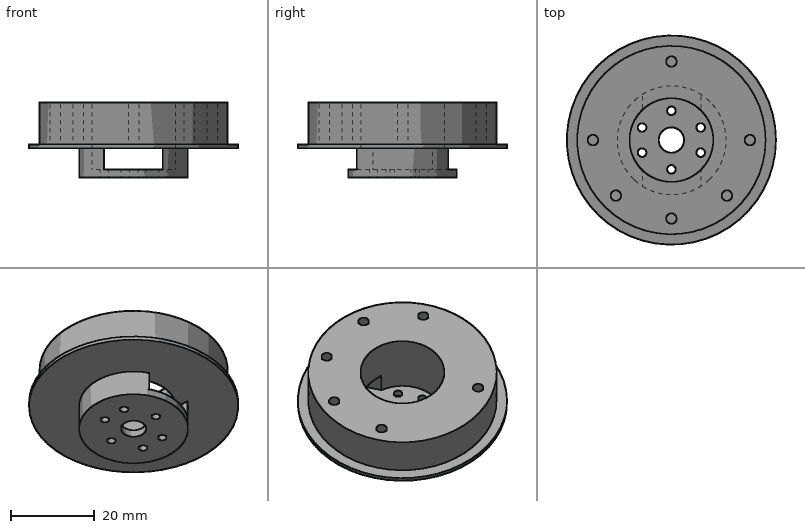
import cadquery as cq
import math

flange_diameter = 50.0
flange_height = 1.0
body_diameter = 45.0
body_height = 10.0
hub_diameter = 26.0
hub_height = 7.0

bore_diameter = 20.0
floor_height = 2.0
shaft_hole_diameter = 6.0

floor_hole_diameter = 2.0
floor_hole_x = 7.0
floor_hole_y = 3.0
floor_hole_end_y = 7.0

window_width = 14.0

top_hole_diameter = 2.5
top_hole_circle_radius = 18.75
top_hole_angles = [0, 90, 180, 225, 270, 315]

flange_base = hub_height
body_base = flange_base + flange_height
total_height = body_base + body_height


def cylinder(diameter, base, height, centres=((0, 0),)):
    """Vertical cylinders standing at the given centres."""
    plane = cq.Workplane("XY").workplane(offset=base)
    return plane.pushPoints(centres).circle(diameter / 2).extrude(height)


def outer_shape():
    hub = cylinder(hub_diameter, 0, hub_height)
    flange = cylinder(flange_diameter, flange_base, flange_height)
    body = cylinder(body_diameter, body_base, body_height)
    return hub.union(flange).union(body)


def floor_holes():
    centres = [(x, y) for x in (-floor_hole_x, floor_hole_x) for y in (-floor_hole_y, floor_hole_y)]
    centres += [(0, -floor_hole_end_y), (0, floor_hole_end_y)]
    return cylinder(floor_hole_diameter, 0, floor_height, centres)


def hub_window():
    window_height = hub_height - floor_height
    window = cq.Workplane("XY").box(window_width, hub_diameter, window_height, centered=(True, True, False))
    return window.translate((0, 0, floor_height))


def top_holes():
    angles = [math.radians(degrees) for degrees in top_hole_angles]
    centres = [
        (top_hole_circle_radius * math.cos(angle), top_hole_circle_radius * math.sin(angle))
        for angle in angles
    ]
    return cylinder(top_hole_diameter, body_base, body_height, centres)


bore = cylinder(bore_diameter, floor_height, total_height - floor_height)
shaft_hole = cylinder(shaft_hole_diameter, 0, floor_height)

result = (
    outer_shape()
    .cut(bore)
    .cut(shaft_hole)
    .cut(floor_holes())
    .cut(hub_window())
    .cut(top_holes())
)